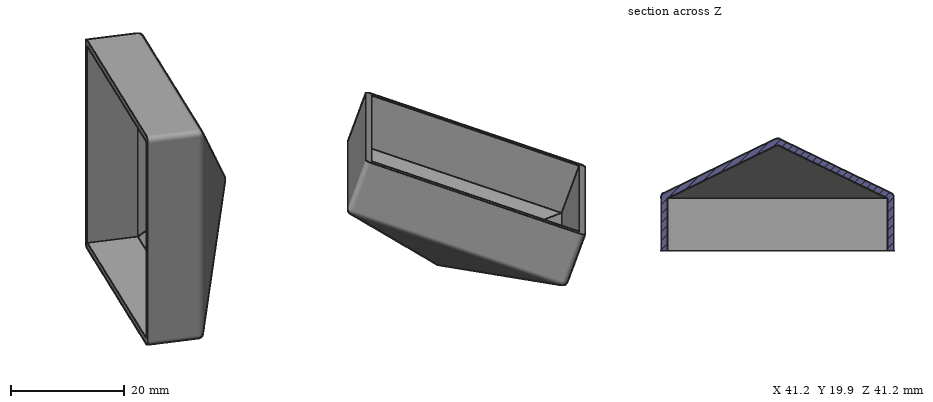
import cadquery as cq
import math

side = 41.2
skirt_depth = 10.0
roof_height = 10.0
edge_radius = 1.0
wall = 1.2

roof_slope = roof_height / (side / 2)
roof_angle = math.atan(roof_slope)

cavity_side = side - 2 * wall
cavity_apex = skirt_depth + roof_height - wall / math.cos(roof_angle)
cavity_roof_height = roof_slope * cavity_side / 2
cavity_skirt_depth = cavity_apex - cavity_roof_height


def flat_face(points):
    """Planar face bounded by straight edges through the given points."""
    return cq.Face.makeFromWires(cq.Wire.makePolygon([cq.Vector(*p) for p in points], close=True))


def roofed_block(width, straight_depth, peak_height):
    """Square block from Y = 0 with a sharp four-sided pyramid on its +Y end."""
    half = width / 2
    corners = [(-half, -half), (half, -half), (half, half), (-half, half)]
    rim = [(x, 0, z) for x, z in corners]
    eave = [(x, straight_depth, z) for x, z in corners]
    apex = (0, straight_depth + peak_height, 0)
    faces = [flat_face(rim)]
    for i in range(len(corners)):
        j = (i + 1) % len(corners)
        faces.append(flat_face([rim[i], rim[j], eave[j], eave[i]]))
        faces.append(flat_face([eave[i], eave[j], apex]))
    return cq.Workplane(obj=cq.Solid.makeSolid(cq.Shell.makeShell(faces)))


def outer_body():
    """Solid cap with every edge rounded except those of the flat rim."""
    sharp = roofed_block(side, skirt_depth, roof_height)
    return sharp.edges("not(<Y)").fillet(edge_radius)


def cavity():
    """Sharp-edged hollow, open at the rim."""
    return roofed_block(cavity_side, cavity_skirt_depth, cavity_roof_height)


result = cq.Workplane(outer_body().cut(cavity()).solids().val())